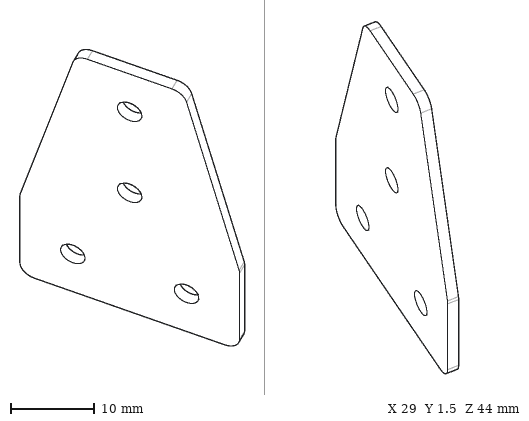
import cadquery as cq

height = 44.0
base_width = 29.0
top_width = 14.25
shoulder_height = 14.5
thickness = 1.5
corner_radius = 2.0

hole_diameter = 3.2
hole_pitch = 15.0
hole_count_in_column = 2
lower_row_height = (height - hole_count_in_column * hole_pitch) / 2


def make_plate():
    """Tapered plate in the XZ plane, centred in thickness, with rounded corners."""
    outline = [
        (-base_width / 2, 0),
        (base_width / 2, 0),
        (base_width / 2, shoulder_height),
        (top_width / 2, height),
        (-top_width / 2, height),
        (-base_width / 2, shoulder_height),
    ]
    plate = cq.Workplane("XZ").polyline(outline).close().extrude(thickness / 2, both=True)
    return plate.edges("|Y").fillet(corner_radius)


def drill_holes(plate):
    """Drill a lower pair of holes and a column of holes on the centreline."""
    lower_pair = [(side * hole_pitch / 2, lower_row_height) for side in (-1, 1)]
    column = [
        (0, lower_row_height + row * hole_pitch)
        for row in range(1, hole_count_in_column + 1)
    ]
    front_face = plate.faces("<Y").workplane(origin=(0, 0, 0))
    return front_face.pushPoints(lower_pair + column).hole(hole_diameter)


result = drill_holes(make_plate())